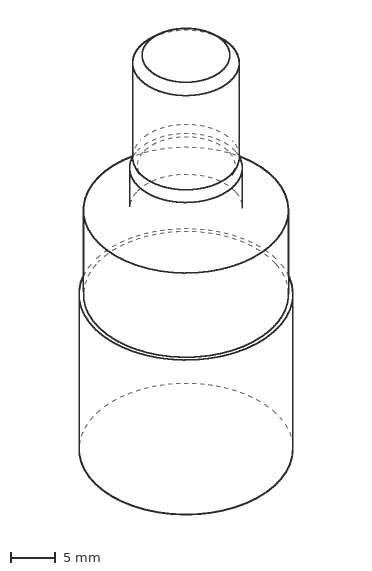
import cadquery as cq
import math

total_height = 56.0
body_top = 22.0
step_top = 34.0
collar_top = 40.0

body_diameter = 24.0
step_diameter = 23.0
collar_diameter = 12.65
groove_diameter = 11.0
stud_diameter = 12.0

tip_chamfer = 1.05
corner_radius = 0.35
groove_wall_length = 0.05
groove_cone_angle = 25.0

body_radius = body_diameter / 2
step_radius = step_diameter / 2
collar_radius = collar_diameter / 2
groove_radius = groove_diameter / 2
stud_radius = stud_diameter / 2
cone_angle = math.radians(groove_cone_angle)

groove_wall_bottom = collar_top + corner_radius
groove_wall_top = groove_wall_bottom + groove_wall_length
arc_center_radius = groove_radius + corner_radius
cone_start_radius = arc_center_radius - corner_radius * math.cos(cone_angle)
cone_start_height = groove_wall_top + corner_radius * math.sin(cone_angle)
cone_end_height = cone_start_height + (stud_radius - cone_start_radius) / math.tan(cone_angle)
half_angle = cone_angle / 2
cone_arc_middle = (
    arc_center_radius - corner_radius * math.cos(half_angle),
    groove_wall_top + corner_radius * math.sin(half_angle),
)

profile = (
    cq.Workplane("XZ")
    .lineTo(body_radius, 0)
    .lineTo(body_radius, body_top)
    .lineTo(step_radius, body_top)
    .lineTo(step_radius, step_top)
    .lineTo(collar_radius + corner_radius, step_top)
    .radiusArc((collar_radius, step_top + corner_radius), corner_radius)
    .lineTo(collar_radius, collar_top)
    .lineTo(groove_radius + corner_radius, collar_top)
    .radiusArc((groove_radius, groove_wall_bottom), corner_radius)
    .lineTo(groove_radius, groove_wall_top)
    .threePointArc(cone_arc_middle, (cone_start_radius, cone_start_height))
    .lineTo(stud_radius, cone_end_height)
    .lineTo(stud_radius, total_height - tip_chamfer)
    .lineTo(stud_radius - tip_chamfer, total_height)
    .lineTo(0, total_height)
    .close()
)

result = profile.revolve(360, (0, 0, 0), (0, 1, 0))